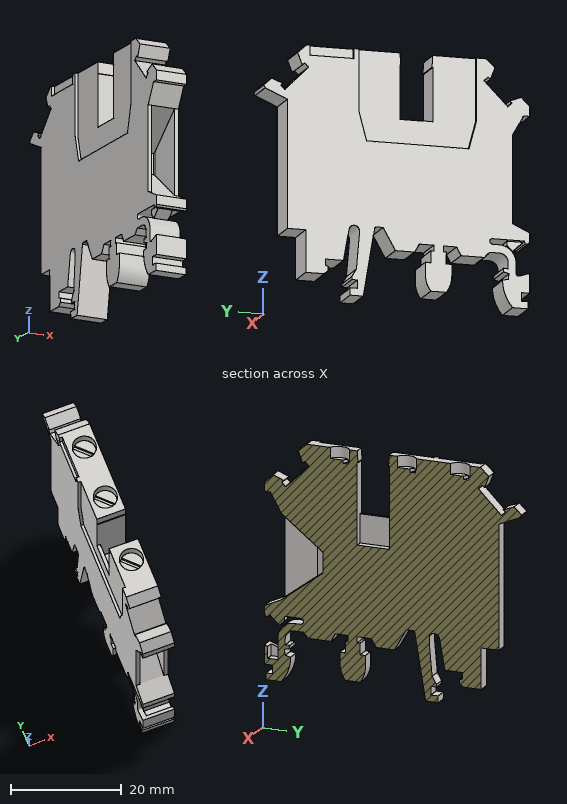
import cadquery as cq
import math


WIDTH = 6.15
LENGTH = 50.31
HEIGHT = 45.9

NEAR_WALL = 3.29
FAR_WALL = 45.85
NEAR_WALL_TOP = 32.0
NEAR_WALL_BOTTOM = 15.65
FAR_WALL_TOP = 35.5
FAR_WALL_BOTTOM = 11.5
BELLY = 8.92
ROOF = 13.04
SHOULDER_MID = 25.24
NEAR_HOOK_BASE = 35.78
NEAR_LIP_BOTTOM = 12.0

SLOT_NEAR = 18.19
SLOT_FAR = 24.36
SLOT_DEPTH = 12.35
SLOT_BACK_DEPTH = 17.9
NUB_HEIGHT = 2.26
NUB_REACH = 0.15

RECESS_DEPTH = 0.55
SLOT_WALL_BACK = 1.24
LABEL_NEAR = 33.29
LABEL_FAR = 41.56
LABEL_HEIGHT = 1.89
PANEL_NEAR = 10.12
PANEL_FAR = 32.29
PANEL_SIDE_HEIGHT = 11.75
PANEL_HEIGHT = 17.0
PANEL_TAPER = 1.4

SCREW_X = 3.55
SCREW_YS = (14.78, 27.85, 38.3)
SCREW_RADIUS = 2.16
SCREW_SINK = 2.1
DRIVER_SLOT_WIDTH = 0.66
DRIVER_SLOT_DEPTH = 0.6
DRIVER_SLOT_ANGLE = -45

FUNNEL_DEPTH = 8.1
FUNNEL_STRAIGHT = 0.79 * FUNNEL_DEPTH
FUNNEL_LEFT = 0.7
FUNNEL_RIGHT = 5.34
FUNNEL_RIGHT_TAPER = 0.3
FUNNEL_BACK_LEFT = 1.9
FUNNEL_BACK_RIGHT = 5.17
FUNNEL_BACK_BOTTOM = 21.76
FUNNEL_BACK_TOP = 25.7

FOOT_OUTER = 42.38
FOOT_BOTTOM = 3.6
FOOT_SEAT = 6.35
FOOT_INNER = 35.21
LEG_FACE = 32.26
LEG_BEND = 11.2
GAP_CREST = (33.25, ROOF)
GAP_FOOT_SIDE = (34.18, 12.25)
GAP_LEG_SIDE = (LEG_FACE, 12.3)

NOTCH_BOTTOM = 1.37
NOTCH_TOP = 2.92

PEG_MID = 17.26
PEG_NECK = 0.93
PEG_COLLAR = 1.48
PEG_HEAD = 2.52
PEG_SEAT = 10.47
PEG_COLLAR_TOP = 9.4
PEG_HEAD_TOP = 7.2
PEG_CURVE_TOP = 4.94
PEG_TIP = 1.49
PEG_BOTTOM = 1.89

ARM_CENTER = (5.77, 8.3)
ARM_OUTER_RADIUS = 3.19
ARM_INNER_RADIUS = 1.65
ARM_GAP_TOP = 12.53
ARM_GAP_END = 7.58
ARM_ROOT = 8.0

LATCH_SIDE_WALL = 0.95
LATCH_PLATE = 0.7
LATCH_TOP = 6.69
LATCH_VALLEY = (2.06, 6.0)
LATCH_VALLEY_END = 6.37
LATCH_SHELF_EDGE = 5.0
LATCH_SHELF_TOP = 7.2
LATCH_HEAD_CURVE = ((5.18, 4.98), (4.65, 2.2), (3.29, 0))
LATCH_TOE = 0.3
LATCH_NOTCH_BACK = 1.58
LATCH_POCKET_FLOOR = 4.2

CATCH_X = 1.0
CATCH_INNER = 4.0
CATCH_OUTER = 1.05
CATCH_WIDTH = 2.88


def extrude_x(sketch, x_start=0.0, width=WIDTH):
    """Extrude a closed YZ sketch along +X, starting from x_start."""
    return sketch.close().extrude(width).translate((x_start, 0, 0))


def yz_polygon(points, x_start=0.0, width=WIDTH):
    return extrude_x(cq.Workplane("YZ").polyline(points), x_start, width)


def box(x_range, y_range, z_range):
    size = [high - low for low, high in (x_range, y_range, z_range)]
    corner = (x_range[0], y_range[0], z_range[0])
    return cq.Workplane("XY").box(*size, centered=False).translate(corner)


def shoulder(side):
    """Points of one marker groove and its two hooks, from the top down; side is +1 (+Y) or -1."""
    profile = [
        (16.97, 0),
        (18.68, 1.54),
        (17.8, 3.8),
        (17.35, 3.43),
        (16.6, 4.12),
        (21.09, 8.61),
        (21.8, 7.9),
        (21.4, 7.5),
        (23.57, 6.65),
    ]
    return [(SHOULDER_MID + side * out, HEIGHT - down) for out, down in profile]


def make_body():
    far_side = [
        (LENGTH, 37.84),
        (50.05, 37.3),
        (FAR_WALL, FAR_WALL_TOP),
        (FAR_WALL, FAR_WALL_BOTTOM),
    ]
    underside = [
        (LEG_FACE, FAR_WALL_BOTTOM),
        (LEG_FACE, ROOF),
        (27.76, ROOF),
        (25.43, BELLY),
        (21.79, BELLY),
        (20.86, PEG_SEAT),
        (13.86, PEG_SEAT),
        (13.04, BELLY),
        (8.58, BELLY),
        (ARM_GAP_END, ARM_CENTER[1] + ARM_INNER_RADIUS),
        (ARM_GAP_END, ARM_GAP_TOP),
    ]
    near_side = [
        (CATCH_OUTER, ARM_GAP_TOP),
        (0.9, NEAR_LIP_BOTTOM),
        (0.3, NEAR_LIP_BOTTOM),
        (0, 12.35),
        (0, 14.15),
        (NEAR_WALL, NEAR_WALL_BOTTOM),
        (NEAR_WALL, NEAR_WALL_TOP),
        (1.15, NEAR_HOOK_BASE),
        (0, NEAR_HOOK_BASE),
        (0, 37.66),
    ]
    outline = shoulder(1) + far_side + underside + near_side + shoulder(-1)[::-1]
    return yz_polygon(outline)


def make_fixed_foot():
    """Rigid rail foot at the +Y end."""
    return yz_polygon(
        [
            (FOOT_OUTER, ROOF),
            (FOOT_OUTER, FOOT_BOTTOM),
            (38.78, FOOT_BOTTOM),
            (38.09, 4.26),
            (38.09, 4.98),
            (38.64, 5.22),
            (38.64, FOOT_SEAT),
            (FOOT_INNER, FOOT_SEAT),
            (33.5, ROOF),
        ]
    )


def make_spring_leg():
    """Slender leg beside the fixed foot."""
    return yz_polygon(
        [
            (LEG_FACE, ROOF),
            (LEG_FACE, LEG_BEND),
            (32.81, 4.94),
            (33.66, 3.5),
            (33.66, NOTCH_TOP),
            (32.6, NOTCH_TOP),
            (32.6, NOTCH_BOTTOM),
            (34.0, NOTCH_BOTTOM),
            (34.0, 0),
            (31.47, 0),
            (29.34, 12.77),
            (29.1, ROOF),
        ]
    )


def cut_leg_gap(part):
    """Round-topped gap between the fixed foot and the spring leg."""
    sketch = (
        cq.Workplane("YZ")
        .moveTo(FOOT_INNER, FOOT_SEAT)
        .lineTo(*GAP_FOOT_SIDE)
        .threePointArc(GAP_CREST, GAP_LEG_SIDE)
        .lineTo(LEG_FACE, LEG_BEND)
    )
    return part.cut(extrude_x(sketch))


def make_peg():
    """Centre peg with a rounded head, built as one half and its mirror image."""
    sketch = (
        cq.Workplane("YZ")
        .moveTo(0, PEG_SEAT)
        .lineTo(PEG_NECK, PEG_SEAT)
        .lineTo(PEG_NECK, PEG_COLLAR_TOP)
        .lineTo(PEG_COLLAR, PEG_COLLAR_TOP)
        .lineTo(PEG_COLLAR, PEG_HEAD_TOP)
        .lineTo(PEG_HEAD, PEG_HEAD_TOP)
        .lineTo(PEG_HEAD, PEG_CURVE_TOP)
        .tangentArcPoint((PEG_TIP, PEG_BOTTOM), relative=False)
        .lineTo(0, PEG_BOTTOM)
    )
    half = extrude_x(sketch)
    return half.union(half.mirror("XZ")).translate((0, PEG_MID, 0))


def make_latch_arm():
    """Curved spring arm at the -Y end, carrying the rail latch."""
    center_y, center_z = ARM_CENTER
    diagonal = math.sqrt(0.5)

    def arc_points(radius):
        middle = (center_y - radius * diagonal, center_z + radius * diagonal)
        return middle, (center_y - radius, center_z)

    inner_middle, inner_end = arc_points(ARM_INNER_RADIUS)
    outer_middle, outer_end = arc_points(ARM_OUTER_RADIUS)
    head_start, head_middle, head_end = LATCH_HEAD_CURVE
    outer_top = center_z + ARM_OUTER_RADIUS
    gap_round = (ARM_GAP_TOP - outer_top) / 2
    round_y = ARM_GAP_END - gap_round
    sketch = (
        cq.Workplane("YZ")
        .moveTo(ARM_ROOT, center_z + ARM_INNER_RADIUS)
        .lineTo(center_y, center_z + ARM_INNER_RADIUS)
        .threePointArc(inner_middle, inner_end)
        .lineTo(inner_end[0], LATCH_SHELF_TOP)
        .lineTo(LATCH_SHELF_EDGE, LATCH_SHELF_TOP)
        .lineTo(LATCH_SHELF_EDGE, 6.5)
        .lineTo(3.95, 6.25)
        .lineTo(4.1, 5.2)
        .lineTo(*head_start)
        .threePointArc(head_middle, head_end)
        .lineTo(LATCH_TOE, 0)
        .lineTo(LATCH_TOE, NOTCH_BOTTOM)
        .lineTo(LATCH_NOTCH_BACK, NOTCH_BOTTOM)
        .lineTo(LATCH_NOTCH_BACK, NOTCH_TOP)
        .lineTo(0, NOTCH_TOP)
        .lineTo(0, LATCH_TOP)
        .lineTo(*LATCH_VALLEY)
        .tangentArcPoint((outer_end[0], LATCH_VALLEY_END), relative=False)
        .lineTo(*outer_end)
        .threePointArc(outer_middle, (center_y, outer_top))
        .lineTo(round_y, outer_top)
        .threePointArc((ARM_GAP_END, outer_top + gap_round), (round_y, ARM_GAP_TOP))
        .lineTo(ARM_ROOT, ARM_GAP_TOP)
    )
    return extrude_x(sketch)


def cut_latch_pocket(part):
    arm_face = ARM_CENTER[0] - ARM_OUTER_RADIUS
    pocket = box((LATCH_SIDE_WALL, WIDTH), (LATCH_PLATE, arm_face), (LATCH_POCKET_FLOOR, LATCH_TOP))
    return part.cut(pocket)


def make_catch():
    """Small wedge hanging over the latch arm."""
    points = [
        (CATCH_INNER, ARM_GAP_TOP),
        (CATCH_INNER, 11.67),
        (2.92, 10.64),
        (CATCH_OUTER, 12.4),
        (CATCH_OUTER, ARM_GAP_TOP),
    ]
    return yz_polygon(points, CATCH_X, CATCH_WIDTH)


def cut_link_slot(part):
    """Slot from the top; behind the thin -X wall it runs deeper. Two nubs narrow its mouth."""
    slot_floor = HEIGHT - SLOT_DEPTH
    nub_bottom = HEIGHT - NUB_HEIGHT
    mouth = [
        (SLOT_NEAR, HEIGHT),
        (SLOT_NEAR + NUB_REACH, nub_bottom),
        (SLOT_NEAR, nub_bottom),
        (SLOT_NEAR, slot_floor),
        (SLOT_FAR, slot_floor),
        (SLOT_FAR, nub_bottom),
        (SLOT_FAR - NUB_REACH, nub_bottom),
        (SLOT_FAR, HEIGHT),
    ]
    back = box((SLOT_WALL_BACK, WIDTH), (SLOT_NEAR, SLOT_FAR), (HEIGHT - SLOT_BACK_DEPTH, slot_floor))
    return part.cut(yz_polygon(mouth)).cut(back)


def cut_face_recesses(part):
    """Label recess and tapered panel recess in the -X face, both open at the top."""
    label = box((0, RECESS_DEPTH), (LABEL_NEAR, LABEL_FAR), (HEIGHT - LABEL_HEIGHT, HEIGHT))
    panel = yz_polygon(
        [
            (PANEL_NEAR, HEIGHT),
            (PANEL_NEAR, HEIGHT - PANEL_SIDE_HEIGHT),
            (PANEL_NEAR + PANEL_TAPER, HEIGHT - PANEL_HEIGHT),
            (PANEL_FAR - PANEL_TAPER, HEIGHT - PANEL_HEIGHT),
            (PANEL_FAR, HEIGHT - PANEL_SIDE_HEIGHT),
            (PANEL_FAR, HEIGHT),
        ],
        width=RECESS_DEPTH,
    )
    return part.cut(label).cut(panel)


def cut_screws(part):
    """Sunk screw heads, each with a diagonal driver slot that ends at the rim."""
    head_z = HEIGHT - SCREW_SINK
    for screw_y in SCREW_YS:
        center = (SCREW_X, screw_y, head_z)
        well = cq.Workplane("XY").circle(SCREW_RADIUS).extrude(SCREW_SINK).translate(center)
        disc = cq.Workplane("XY").circle(SCREW_RADIUS).extrude(-DRIVER_SLOT_DEPTH)
        driver_slot = (
            cq.Workplane("XY")
            .rect(3 * SCREW_RADIUS, DRIVER_SLOT_WIDTH)
            .extrude(-DRIVER_SLOT_DEPTH)
            .rotate((0, 0, 0), (0, 0, 1), DRIVER_SLOT_ANGLE)
            .intersect(disc)
            .translate(center)
        )
        part = part.cut(well).cut(driver_slot)
    return part


def cut_wire_funnel(part):
    """Funnel into the -Y wall: the side outline and the plan outline, intersected."""
    back_y = NEAR_WALL + FUNNEL_DEPTH
    side = yz_polygon(
        [
            (NEAR_WALL, NEAR_WALL_BOTTOM),
            (back_y, FUNNEL_BACK_BOTTOM),
            (back_y, FUNNEL_BACK_TOP),
            (NEAR_WALL, NEAR_WALL_TOP),
        ]
    )
    plan = (
        cq.Workplane("XY")
        .polyline(
            [
                (FUNNEL_LEFT, NEAR_WALL),
                (FUNNEL_RIGHT, NEAR_WALL),
                (FUNNEL_RIGHT, back_y - FUNNEL_RIGHT_TAPER),
                (FUNNEL_BACK_RIGHT, back_y),
                (FUNNEL_BACK_LEFT, back_y),
                (FUNNEL_LEFT, NEAR_WALL + FUNNEL_STRAIGHT),
            ]
        )
        .close()
        .extrude(HEIGHT)
    )
    return part.cut(side.intersect(plan))


result = make_body()
for piece in (make_fixed_foot(), make_spring_leg(), make_peg(), make_latch_arm(), make_catch()):
    result = result.union(piece)
result = cut_leg_gap(result)
result = cut_latch_pocket(result)
result = cut_link_slot(result)
result = cut_face_recesses(result)
result = cut_screws(result)
result = cut_wire_funnel(result)